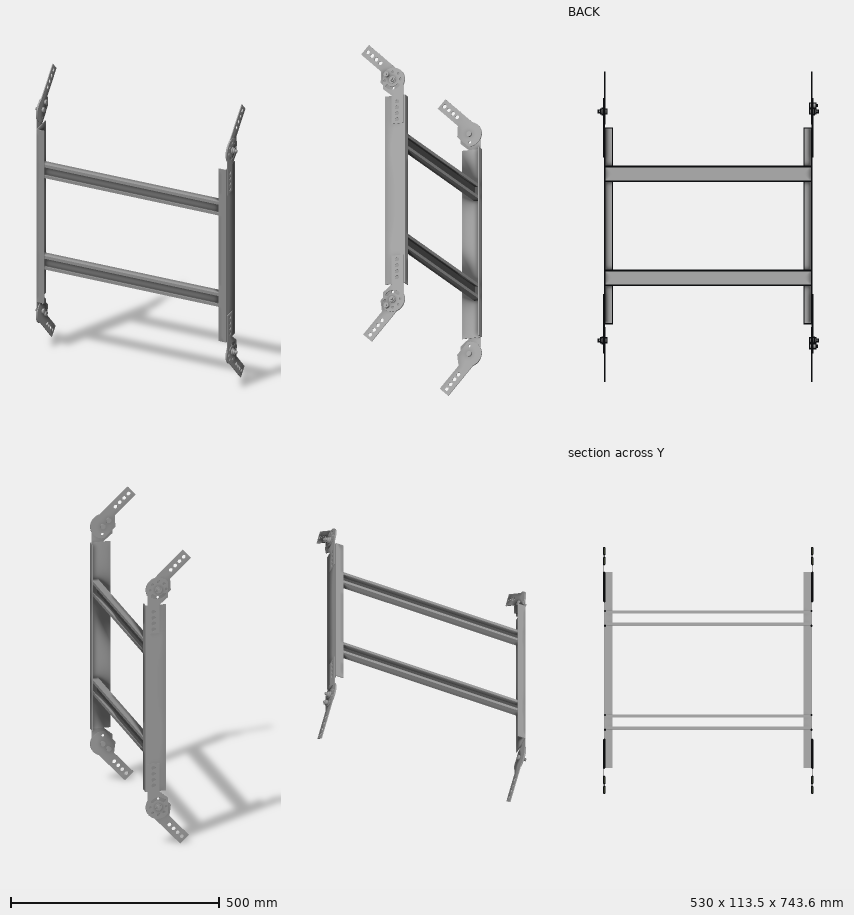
import cadquery as cq
import math

RAIL_OUTER_X = 250.0
RAIL_LENGTH = 471.0
RAIL_BACK_Y = -6.0
RAIL_FRONT_Y = -57.0
RAIL_WALL = 2.0
FLANGE_WIDTH = 20.0
FRAME_MID_Z = 2.1

RUNG_SPACING = 250.0
RUNG_HEIGHT = 37.0
RUNG_DEPTH = 17.0
RUNG_WALL = 2.0
RUNG_OPENING = 21.5

PLATE_THICKNESS = 2.0
PIVOT_Y = -26.0
PIVOT_HALF_SPACING = 275.0
TOP_TILT = 47.0
BOTTOM_TILT = 43.0

DISC_RADIUS = 30.5
STRAP_LENGTH = 110.0
STRAP_EDGE = 27.0
STRAP_WIDTH = 30.0
LOBE_EDGE = -24.5
LOBE_START = 21.0
LOBE_END = 39.0

STRAP_HOLE_DIAMETER = 10.0
STRAP_HOLE_COUNT = 4
STRAP_HOLE_PITCH = 15.0
STRAP_HOLE_FIRST = 55.0

RING_RADIUS = 20.0
INDEX_HOLE_DIAMETER = 7.0
INDEX_ANGLES = (0, 180, 225, 270, 315)
LOCK_ANGLE = 225
SLOT_ANGLES = (45, 135)
SLOT_WIDTH = 8.0
LOCK_HOLE_DIAMETER = 6.4

NUT_DIAMETER = 13.0
NUT_TIP = 7.5
HEAD_HEIGHT = 4.8
PIVOT_SCREW_DIAMETER = 7.5
PIVOT_SCREW_REACH = 15.0
PIVOT_SCREW_TIP = PIVOT_SCREW_REACH - PLATE_THICKNESS
PIVOT_WASHER_DIAMETER = 17.0
WASHER_HEIGHT = 3.0
LOCK_SCREW_DIAMETER = 5.7
LOCK_SCREW_TIP = 10.5


def box(x, y, z):
    """Box between the given (low, high) limits along each axis."""
    size = (x[1] - x[0], y[1] - y[0], z[1] - z[0])
    return cq.Workplane("XY").box(*size, centered=False).translate((x[0], y[0], z[0]))


def make_rail(side):
    """L-section rail; side is -1 for the left rail and +1 for the right rail."""
    profile = [
        (side * RAIL_OUTER_X, RAIL_BACK_Y),
        (side * RAIL_OUTER_X, RAIL_FRONT_Y),
        (side * (RAIL_OUTER_X - FLANGE_WIDTH), RAIL_FRONT_Y),
        (side * (RAIL_OUTER_X - FLANGE_WIDTH), RAIL_FRONT_Y + RAIL_WALL),
        (side * (RAIL_OUTER_X - RAIL_WALL), RAIL_FRONT_Y + RAIL_WALL),
        (side * (RAIL_OUTER_X - RAIL_WALL), RAIL_BACK_Y),
    ]
    bottom = FRAME_MID_Z - RAIL_LENGTH / 2
    return cq.Workplane("XY", origin=(0, 0, bottom)).polyline(profile).close().extrude(RAIL_LENGTH)


def make_rung(mid_z):
    """C-section rung, open to the front between two lips, as long as the frame is wide."""
    front = RAIL_FRONT_Y + RAIL_WALL
    back = front + RUNG_DEPTH
    across = (-RAIL_OUTER_X, RAIL_OUTER_X)
    inner_half = RUNG_HEIGHT / 2 - RUNG_WALL
    body = box(across, (front, back), (mid_z - RUNG_HEIGHT / 2, mid_z + RUNG_HEIGHT / 2))
    cavity = box(across, (front + RUNG_WALL, back - RUNG_WALL), (mid_z - inner_half, mid_z + inner_half))
    opening = box(across, (front, back - RUNG_WALL), (mid_z - RUNG_OPENING / 2, mid_z + RUNG_OPENING / 2))
    return body.cut(cavity).cut(opening)


def make_frame():
    frame = make_rail(-1).union(make_rail(1))
    for end in (-1, 1):
        frame = frame.union(make_rung(FRAME_MID_Z + end * RUNG_SPACING / 2), clean=False)
    return frame


def cylinder(center, diameter, low, high):
    """Round bar along W between two heights."""
    return cq.Workplane("XY", origin=(*center, low)).circle(diameter / 2).extrude(high - low)


def polar(radius, angle):
    """Point at a distance from the pivot and an angle in degrees from +U."""
    return (radius * math.cos(math.radians(angle)), radius * math.sin(math.radians(angle)))


def on_ring(angle):
    """Point of the ring at an angle in degrees."""
    return polar(RING_RADIUS, angle)


def disc_half_chord(offset):
    """Half the length of the chord of the disc at a distance from its center."""
    return math.sqrt(DISC_RADIUS**2 - offset**2)


def make_plate():
    """Disc around the pivot with a strap and its row of holes, from W = 0 up."""
    strap_inner = STRAP_EDGE - STRAP_WIDTH
    outline = (
        cq.Workplane("XY")
        .moveTo(STRAP_EDGE, -disc_half_chord(STRAP_EDGE))
        .lineTo(STRAP_EDGE, STRAP_LENGTH)
        .lineTo(strap_inner, STRAP_LENGTH)
        .lineTo(strap_inner, LOBE_END)
        .lineTo(LOBE_EDGE, LOBE_START)
        .lineTo(LOBE_EDGE, -disc_half_chord(LOBE_EDGE))
        .threePointArc((0, -DISC_RADIUS), (STRAP_EDGE, -disc_half_chord(STRAP_EDGE)))
        .close()
    )
    strap = outline.extrude(PLATE_THICKNESS)
    disc = cq.Workplane("XY").circle(DISC_RADIUS).extrude(PLATE_THICKNESS)
    beyond_lobe = box((-DISC_RADIUS, LOBE_EDGE), (-DISC_RADIUS, DISC_RADIUS), (0, PLATE_THICKNESS))
    strap_middle = STRAP_EDGE - STRAP_WIDTH / 2
    holes = [
        (strap_middle, STRAP_HOLE_FIRST + i * STRAP_HOLE_PITCH) for i in range(STRAP_HOLE_COUNT)
    ]
    drills = cq.Workplane("XY").pushPoints(holes).circle(STRAP_HOLE_DIAMETER / 2).extrude(PLATE_THICKNESS)
    return strap.union(disc.cut(beyond_lobe), clean=False).cut(drills, clean=False)


def make_arc_slot():
    """Cutter for the curved slot on the strap side of the ring."""
    outer = RING_RADIUS + SLOT_WIDTH / 2
    inner = RING_RADIUS - SLOT_WIDTH / 2
    band = cq.Workplane("XY").circle(outer).circle(inner).extrude(PLATE_THICKNESS)
    reach = 2 * outer
    wedge_points = [(0, 0), *[polar(reach, angle) for angle in SLOT_ANGLES]]
    wedge = cq.Workplane("XY").polyline(wedge_points).close().extrude(PLATE_THICKNESS)
    slot = band.intersect(wedge)
    for angle in SLOT_ANGLES:
        slot = slot.union(cylinder(on_ring(angle), SLOT_WIDTH, 0, PLATE_THICKNESS))
    return slot


def make_bracket():
    """Fixed plate with the index holes and the curved slot."""
    bracket = make_plate().cut(make_arc_slot(), clean=False)
    for angle in INDEX_ANGLES:
        bracket = bracket.cut(cylinder(on_ring(angle), INDEX_HOLE_DIAMETER, 0, PLATE_THICKNESS), clean=False)
    return bracket


def make_arm(tilt):
    """Tilted plate, the mirror image of the bracket plate, directly beneath the bracket."""
    arm = make_plate().cut(cylinder(on_ring(LOCK_ANGLE), LOCK_HOLE_DIAMETER, 0, PLATE_THICKNESS))
    arm = arm.mirror("XZ").rotate((0, 0, 0), (0, 0, 1), -tilt)
    return arm.translate((0, 0, -PLATE_THICKNESS))


def make_bolt(center, screw_diameter, screw_tip, washer_diameter):
    """Bolt through both plates: head inside, then washer, nut and screw end outside."""
    face = PLATE_THICKNESS
    head = cylinder(center, NUT_DIAMETER, -PLATE_THICKNESS - HEAD_HEIGHT, -PLATE_THICKNESS)
    screw = cylinder(center, screw_diameter, -PLATE_THICKNESS, face + screw_tip)
    washer = cylinder(center, washer_diameter, face, face + WASHER_HEIGHT)
    nut = cylinder(center, NUT_DIAMETER, face, face + NUT_TIP)
    return head.union(screw).union(washer).union(nut)


def make_hinge(side, end, tilt):
    """One complete hinge; side is -1 left or +1 right, end is -1 bottom or +1 top."""
    hinge = make_bracket().union(make_arm(tilt), clean=False)
    hinge = hinge.union(
        make_bolt((0, 0), PIVOT_SCREW_DIAMETER, PIVOT_SCREW_TIP, PIVOT_WASHER_DIAMETER), clean=False
    )
    if side < 0:
        hinge = hinge.union(
            make_bolt(on_ring(LOCK_ANGLE), LOCK_SCREW_DIAMETER, LOCK_SCREW_TIP, NUT_DIAMETER), clean=False
        )
    hinge = hinge.rotate((0, 0, 0), (1, 0, 0), 90).rotate((0, 0, 0), (0, 0, 1), -90)
    if end > 0:
        hinge = hinge.mirror("XY")
    if side > 0:
        hinge = hinge.mirror("YZ")
    return hinge.translate((side * RAIL_OUTER_X, PIVOT_Y, FRAME_MID_Z + end * PIVOT_HALF_SPACING))


frame = make_frame()
hinges = []
for side in (-1, 1):
    hinges.append(make_hinge(side, 1, TOP_TILT))
    hinges.append(make_hinge(side, -1, BOTTOM_TILT))

result = cq.Compound.makeCompound([frame.val(), *[hinge.val() for hinge in hinges]])